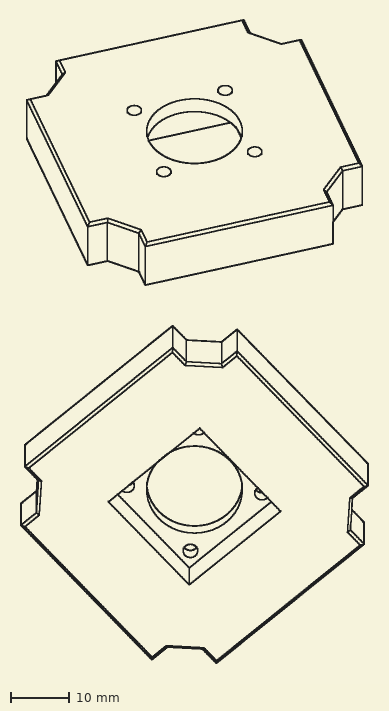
import cadquery as cq

plate_size = 49.8
plate_height = 10.0
half_size = plate_size / 2
edge_chamfer = 0.5

notch_size = 7.85
step_length = 3.6

web_thickness = 3.0
pocket_size = 21.0
pilot_diameter = 16.5
screw_diameter = 2.5
screw_spacing = 16.5


def corner_notch():
    """Cutter for the notch in the +X +Y corner, through the full height."""
    outer = half_size
    inner = half_size - notch_size
    step_end = half_size - step_length
    outline = [(outer, outer), (inner, outer), (inner, step_end), (step_end, inner), (outer, inner)]
    return cq.Workplane("XY").polyline(outline).close().extrude(plate_height)


def plate():
    """Square block with four notched corners and chamfered outer top and bottom edges."""
    body = cq.Workplane("XY").box(plate_size, plate_size, plate_height, centered=(True, True, False))
    for quarter in range(4):
        body = body.cut(corner_notch().rotate((0, 0, 0), (0, 0, 1), 90 * quarter))
    return body.faces("<Z or >Z").edges().chamfer(edge_chamfer)


def motor_pocket():
    """Square recess from the bottom face up to the web."""
    pocket_depth = plate_height - web_thickness
    return cq.Workplane("XY").rect(pocket_size, pocket_size).extrude(pocket_depth)


def mounting_holes():
    """Central pilot hole and the four screw holes around it."""
    pilot = cq.Workplane("XY").circle(pilot_diameter / 2).extrude(plate_height)
    screws = (
        cq.Workplane("XY")
        .rect(screw_spacing, screw_spacing, forConstruction=True)
        .vertices()
        .circle(screw_diameter / 2)
        .extrude(plate_height)
    )
    return pilot.union(screws)


result = plate().cut(motor_pocket()).cut(mounting_holes())